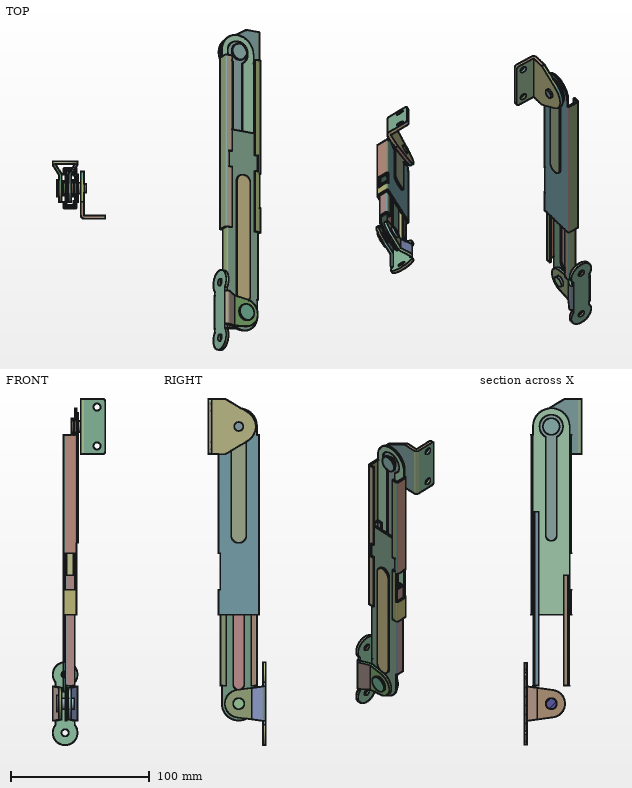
import cadquery as cq
import math

PIVOT_SPACING = 200.0
BOTH_SIDES = (-1, 1)
UPRIGHT = 90.0

SHEET = 1.2
BEND_RADIUS = 1.0

CHANNEL_X0 = 7.8
CHANNEL_X1 = 17.2
CHANNEL_HALF_WIDTH = 14.8
CHANNEL_LIP_GAP = 19.5
CHANNEL_BOTTOM = 64.0
CHANNEL_LENGTH = 130.0
CHANNEL_TOP = CHANNEL_BOTTOM + CHANNEL_LENGTH
CHANNEL_TAB_RADIUS = 13.2
LIP_NOTCH_BOTTOM = 109.8
LIP_NOTCH_HEIGHT = 12.0
LIP_NOTCH_WIDTH = 24.5
SIDE_NOTCH_BOTTOM = 82.2
SIDE_NOTCH_TOP = 108.5

RAIL_X0 = CHANNEL_X0 + SHEET
RAIL_X1 = CHANNEL_X1 - SHEET
RAIL_CLEARANCE = 0.2
RAIL_HALF_WIDTH = CHANNEL_HALF_WIDTH - SHEET - RAIL_CLEARANCE
RAIL_LIP_GAP = 18.0
RAIL_BOTTOM = 13.0
RAIL_TOP = 138.5
RAIL_TAB_RADIUS = RAIL_HALF_WIDTH - BEND_RADIUS
RAIL_SIDE_BOTTOM = 92.8

RIB_RADIUS = 5.5
EMBOSS_WALL = 1.5
BOSS_RADIUS = 10.0
CHANNEL_RIB_BOTTOM = 116.0
RAIL_RIB_BOTTOM = 8.5
RAIL_RIB_TOP = 105.2

WALL_SHEET = 2.12
WALL_BEND_RADIUS = WALL_SHEET
WALL_Y = 19.5
WALL_WIDTH = 18.0
WALL_HALF_HEIGHT = 30.0
WALL_NECK_WIDTH = 14.0
WALL_HOLE_DIAMETER = 5.0
WALL_BODY_HALF_HEIGHT = 12.5
ARM_END_RADIUS = 10.0
ARM_INSET = 4.5
ARM_SLANT = math.radians(32)

ANGLE_SHEET = 2.5
ANGLE_X0 = 20.2
ANGLE_X1 = 38.0
ANGLE_Y = -22.0
ANGLE_HALF_HEIGHT = 20.0
ANGLE_END_RADIUS = 12.2
ANGLE_SHOULDER_Y = -9.8
ANGLE_CORNER_RADIUS = 2.0
ANGLE_HOLE_DIAMETER = 5.0
ANGLE_HOLE_X = 32.0
ANGLE_HOLE_OFFSET = 14.0

PIN_HEAD_RADIUS = 6.0
PIN_HEAD_THICKNESS = 1.5
PIN_RADIUS = 4.0
PIN_TAIL_RADIUS = 3.2
LOWER_PIN_END_X = 15.5
UPPER_PIN_HEAD_X = 13.2
UPPER_PIN_END_X = 24.2


def box(x0, x1, y0, y1, z0, z1):
    """A block between the given limits."""
    return cq.Workplane("XY").box(x1 - x0, y1 - y0, z1 - z0, centered=False).translate((x0, y0, z0))


def disc(x0, x1, radius, z):
    """A cylinder along X about a pivot axis at height z."""
    return cq.Workplane("YZ", origin=(x0, 0, z)).circle(radius).extrude(x1 - x0)


def upright_slot(x0, x1, radius, z0, z1):
    """A round-ended slab between heights z0 and z1."""
    sketch = cq.Workplane("YZ", origin=(x0, 0, (z0 + z1) / 2))
    return sketch.slot2D(z1 - z0, 2 * radius, UPRIGHT).extrude(x1 - x0)


def c_section(x0, x1, half_width, z0, z1):
    """A rectangular tube with rounded outside bends, still closed on the lip side."""
    tube = box(x0, x1, -half_width, half_width, z0, z1).edges("|Z").fillet(BEND_RADIUS)
    inner = half_width - SHEET
    return tube.cut(box(x0 + SHEET, x1 - SHEET, -inner, inner, z0, z1))


def tapered_profile(root_y, shoulder_y, half_height, end_radius):
    """A symmetric YZ outline whose edges run straight to shoulder_y, then tangent to a round end.

    The round end is centred on the origin of the outline, away from the root.
    """
    toward_end = 1 if root_y < 0 else -1
    distance = math.hypot(shoulder_y, half_height)
    angle = math.atan2(half_height, toward_end * shoulder_y) - math.acos(end_radius / distance)
    tangent_y = toward_end * end_radius * math.cos(angle)
    tangent_z = end_radius * math.sin(angle)
    outline = cq.Workplane("YZ").moveTo(root_y, -half_height).lineTo(shoulder_y, -half_height)
    outline = outline.lineTo(tangent_y, -tangent_z)
    outline = outline.threePointArc((toward_end * end_radius, 0), (tangent_y, tangent_z))
    return outline.lineTo(shoulder_y, half_height).lineTo(root_y, half_height).close()


def make_channel():
    body = c_section(CHANNEL_X0, CHANNEL_X1, CHANNEL_HALF_WIDTH, CHANNEL_BOTTOM, CHANNEL_TOP)
    lip_x = CHANNEL_X0 + SHEET
    web_x = CHANNEL_X1 - SHEET
    half_gap = CHANNEL_LIP_GAP / 2
    body = body.cut(box(CHANNEL_X0, lip_x, -half_gap, half_gap, CHANNEL_BOTTOM, CHANNEL_TOP))

    half_notch = LIP_NOTCH_WIDTH / 2
    notch_top = LIP_NOTCH_BOTTOM + LIP_NOTCH_HEIGHT
    body = body.cut(box(CHANNEL_X0, lip_x, -half_notch, half_notch, LIP_NOTCH_BOTTOM, notch_top))
    side_y = -CHANNEL_HALF_WIDTH
    body = body.cut(
        box(CHANNEL_X0, CHANNEL_X1, side_y, side_y + SHEET, SIDE_NOTCH_BOTTOM, SIDE_NOTCH_TOP)
    )

    tab = box(web_x, CHANNEL_X1, -CHANNEL_TAB_RADIUS, CHANNEL_TAB_RADIUS, CHANNEL_TOP, PIVOT_SPACING)
    body = body.union(tab).union(disc(web_x, CHANNEL_X1, CHANNEL_TAB_RADIUS, PIVOT_SPACING))

    raised_x = CHANNEL_X1 + SHEET
    body = body.union(disc(CHANNEL_X1, raised_x, BOSS_RADIUS, PIVOT_SPACING))
    body = body.union(
        upright_slot(CHANNEL_X1, raised_x, RIB_RADIUS, CHANNEL_RIB_BOTTOM, PIVOT_SPACING + RIB_RADIUS)
    )
    hollow_radius = RIB_RADIUS - EMBOSS_WALL
    body = body.cut(disc(web_x, CHANNEL_X1, BOSS_RADIUS - EMBOSS_WALL, PIVOT_SPACING))
    body = body.cut(
        upright_slot(
            web_x,
            CHANNEL_X1,
            hollow_radius,
            CHANNEL_RIB_BOTTOM + EMBOSS_WALL,
            PIVOT_SPACING + hollow_radius,
        )
    )
    return body.cut(disc(CHANNEL_X0, raised_x, PIN_RADIUS, PIVOT_SPACING))


def make_rail():
    body = c_section(RAIL_X0, RAIL_X1, RAIL_HALF_WIDTH, RAIL_BOTTOM, RAIL_TOP)
    web_x = RAIL_X0 + SHEET
    half_gap = RAIL_LIP_GAP / 2
    body = body.cut(box(web_x, RAIL_X1, -half_gap, half_gap, RAIL_BOTTOM, RAIL_TOP))

    body = body.cut(box(web_x, RAIL_X1, -RAIL_HALF_WIDTH, 0, RAIL_SIDE_BOTTOM, RAIL_TOP))

    tab = box(RAIL_X0, web_x, -RAIL_TAB_RADIUS, RAIL_TAB_RADIUS, 0, RAIL_BOTTOM)
    body = body.union(tab).union(disc(RAIL_X0, web_x, RAIL_TAB_RADIUS, 0))

    raised_x = RAIL_X0 - SHEET
    body = body.union(upright_slot(raised_x, RAIL_X0, RIB_RADIUS, RAIL_RIB_BOTTOM, RAIL_RIB_TOP))
    body = body.cut(
        upright_slot(
            RAIL_X0,
            web_x,
            RIB_RADIUS - EMBOSS_WALL,
            RAIL_RIB_BOTTOM + EMBOSS_WALL,
            RAIL_RIB_TOP - EMBOSS_WALL,
        )
    )
    return body.cut(disc(RAIL_X0, web_x, PIN_RADIUS, 0))


def bent_arm():
    """The arm bent off the plate edge at X = 0, drawn along Z.

    It leaves the plate through a round bend with a sharp inside, slants inwards, and then
    runs straight past the pivot.
    """
    bend_x = WALL_BEND_RADIUS
    bend_y = WALL_Y - WALL_BEND_RADIUS
    slant_x = bend_x - WALL_BEND_RADIUS * math.cos(ARM_SLANT)
    slant_y = bend_y - WALL_BEND_RADIUS * math.sin(ARM_SLANT)
    straight_y = slant_y - (ARM_INSET - slant_x) / math.tan(ARM_SLANT)
    inner_x = ARM_INSET + WALL_SHEET
    inner_y = straight_y + WALL_SHEET * math.tan(ARM_SLANT / 2)
    outline = (
        cq.Workplane("XY", origin=(0, 0, -WALL_BODY_HALF_HEIGHT))
        .moveTo(bend_x, WALL_Y)
        .threePointArc((0, bend_y), (slant_x, slant_y))
        .lineTo(ARM_INSET, straight_y)
        .lineTo(ARM_INSET, -ARM_END_RADIUS)
        .lineTo(inner_x, -ARM_END_RADIUS)
        .lineTo(inner_x, inner_y)
        .lineTo(bend_x, bend_y)
        .close()
    )
    return outline.extrude(2 * WALL_BODY_HALF_HEIGHT)


def make_wall_bracket():
    plate_y = WALL_Y - WALL_SHEET
    middle_x = WALL_WIDTH / 2
    ear_radius = WALL_WIDTH / 2
    ear_z = WALL_HALF_HEIGHT - ear_radius

    body = box(
        WALL_BEND_RADIUS,
        WALL_WIDTH - WALL_BEND_RADIUS,
        plate_y,
        WALL_Y,
        -WALL_BODY_HALF_HEIGHT,
        WALL_BODY_HALF_HEIGHT,
    )
    half_neck = WALL_NECK_WIDTH / 2
    body = body.union(box(middle_x - half_neck, middle_x + half_neck, plate_y, WALL_Y, -ear_z, ear_z))
    ear_centres = [(middle_x, side * ear_z) for side in BOTH_SIDES]
    plate_plane = cq.Workplane("XZ", origin=(0, WALL_Y, 0)).pushPoints(ear_centres)
    body = body.union(plate_plane.circle(ear_radius).extrude(WALL_SHEET))
    body = body.cut(plate_plane.circle(WALL_HOLE_DIAMETER / 2).extrude(WALL_SHEET))

    left_arm = bent_arm()
    right_arm = left_arm.mirror("YZ").translate((WALL_WIDTH, 0, 0))
    arms = left_arm.union(right_arm)
    side_outline = tapered_profile(WALL_Y, WALL_Y - WALL_SHEET, WALL_BODY_HALF_HEIGHT, ARM_END_RADIUS)
    body = body.union(arms.intersect(side_outline.extrude(WALL_WIDTH)))
    return body.cut(disc(0, WALL_WIDTH, PIN_RADIUS, 0))


def make_angle_bracket():
    foot_y = ANGLE_Y + ANGLE_SHEET
    plate_x = ANGLE_X0 + ANGLE_SHEET
    outline = tapered_profile(ANGLE_Y, ANGLE_SHOULDER_Y, ANGLE_HALF_HEIGHT, ANGLE_END_RADIUS)
    body = outline.extrude(ANGLE_SHEET).translate((ANGLE_X0, 0, 0))
    foot = box(ANGLE_X0, ANGLE_X1, ANGLE_Y, foot_y, -ANGLE_HALF_HEIGHT, ANGLE_HALF_HEIGHT)
    body = body.union(foot.edges("|Y and >X").fillet(ANGLE_CORNER_RADIUS))
    body = body.edges("|Z and <X and <Y").fillet(ANGLE_SHEET)

    hole_centres = [(ANGLE_HOLE_X, side * ANGLE_HOLE_OFFSET) for side in BOTH_SIDES]
    hole_plane = cq.Workplane("XZ", origin=(0, foot_y, 0)).pushPoints(hole_centres)
    body = body.cut(hole_plane.circle(ANGLE_HOLE_DIAMETER / 2).extrude(ANGLE_SHEET))
    body = body.cut(disc(ANGLE_X0, plate_x, PIN_TAIL_RADIUS, 0))
    return body.translate((0, 0, PIVOT_SPACING))


def make_pin(head_x, end_x, z):
    """A rivet whose head starts at head_x and whose shank runs on to end_x."""
    head = disc(head_x, head_x + PIN_HEAD_THICKNESS, PIN_HEAD_RADIUS, z)
    return head.union(disc(head_x, end_x, PIN_RADIUS, z))


def make_lower_pin():
    return make_pin(ARM_INSET - PIN_HEAD_THICKNESS, LOWER_PIN_END_X, 0)


def make_upper_pin():
    pin = make_pin(UPPER_PIN_HEAD_X, ANGLE_X0, PIVOT_SPACING)
    return pin.union(disc(ANGLE_X0, UPPER_PIN_END_X, PIN_TAIL_RADIUS, PIVOT_SPACING))


channel = make_channel()
rail = make_rail()
wall_bracket = make_wall_bracket()
angle_bracket = make_angle_bracket()
lower_pin = make_lower_pin()
upper_pin = make_upper_pin()

bodies = [channel, rail, wall_bracket, angle_bracket, lower_pin, upper_pin]
result = cq.Compound.makeCompound([body.val() for body in bodies])